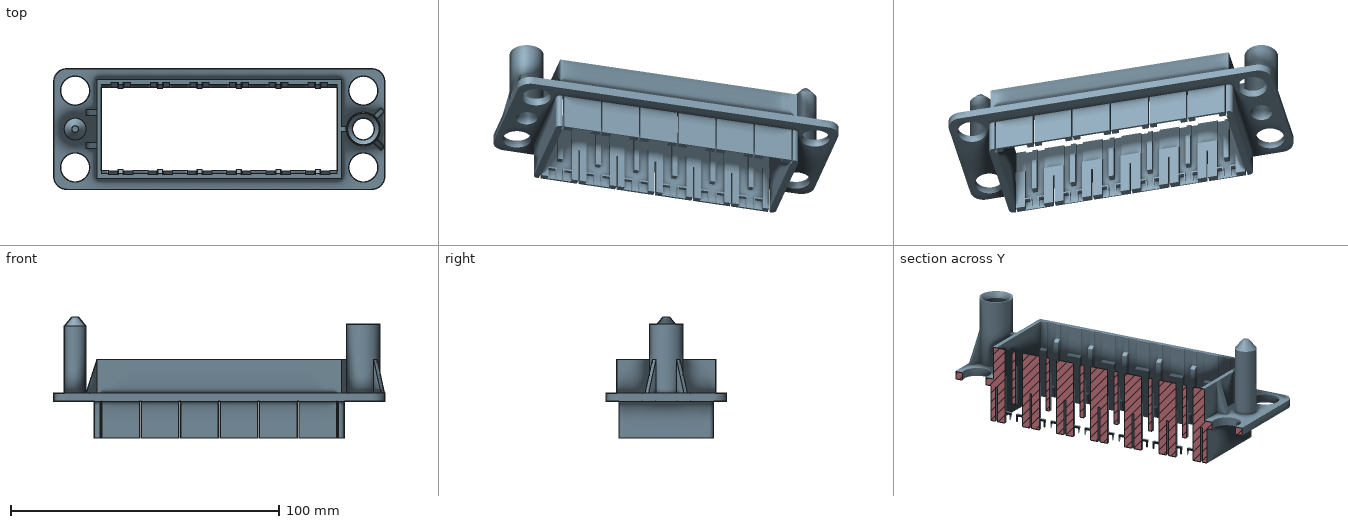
import cadquery as cq


plate_length = 123.4
plate_width = 45.0
plate_thickness = 3.1
plate_corner_radius = 4.9
mount_hole_diameter = 10.7
mount_x = 53.7
mount_y = 14.3

shell_half_length = 45.5
shell_half_width = 18.5
shell_height = 12.6
shell_top = plate_thickness + shell_height

skirt_half_length = 46.6
skirt_half_width = 17.6
skirt_depth = 13.7
skirt_corner_radius = 1.6
skirt_bottom = -skirt_depth

cavity_half_length = 43.9
shell_wall = shell_half_length - cavity_half_length
wall_face_y = 16.5
module_count = 6
module_pitch = 14.7
slot_width = 0.6

panel_face_y = 15.4
panel_top = 4.6
panel_bevel_height = 0.6

rib_face_y = 15.0
rib_width = 1.9
rib_bottom = -5.4
rib_top = 9.0
rib_bevel_height = 1.0

ledge_top = -9.3
ledge_thickness = 0.6
ledge_gap = 2.3
bracket_thickness = 0.5
ledge_face_y = 15.5

long_walls = (
    {"side": 1, "panel_width": 7.5, "groove_y": 17.3},
    {"side": -1, "panel_width": 5.5, "groove_y": 16.9},
)

pin_diameter = 8.1
pin_height = 28.4
pin_tip_diameter = 2.5
pin_tip_height = 3.5
socket_diameter = 12.6
socket_height = 25.7
socket_bore = 8.0
socket_mouth_diameter = 11.7

gusset_thickness = 2.2
gusset_base = 4.1
gusset_y = 6.2
web_thickness = 2.0
socket_gusset_thickness = 1.9
socket_gusset_reach = 10.2
socket_gusset_angle = 45


def box(x_min, x_max, y_min, y_max, z_min, z_max):
    size = (x_max - x_min, y_max - y_min, z_max - z_min)
    return cq.Workplane("XY").box(*size, centered=False).translate((x_min, y_min, z_min))


def wall_box(side, x_min, x_max, inner_y, outer_y, z_min, z_max):
    """Box on one long wall, with Y distances measured from the middle plane."""
    y_min, y_max = sorted((side * inner_y, side * outer_y))
    return box(x_min, x_max, y_min, y_max, z_min, z_max)


def wall_profile(side, x_min, x_max, points):
    """Extrude a (distance from middle plane, Z) outline along X on one long wall."""
    outline = [(side * y, z) for y, z in points]
    return cq.Workplane("YZ", origin=(x_min, 0, 0)).polyline(outline).close().extrude(x_max - x_min)


def triangle_gusset(root, reach, thickness):
    """Upright triangle in the XZ plane, as tall as the shell and sloping down towards +X."""
    outline = [(0, plate_thickness), (reach, plate_thickness), (root, shell_top), (0, shell_top)]
    return cq.Workplane("XZ", origin=(0, thickness / 2, 0)).polyline(outline).close().extrude(thickness)


def make_housing():
    plate = cq.Workplane("XY").rect(plate_length, plate_width).extrude(plate_thickness)
    plate = plate.edges("|Z").fillet(plate_corner_radius)
    holes = [(x, y) for x in (-mount_x, mount_x) for y in (-mount_y, mount_y)]
    hole_tools = cq.Workplane("XY").pushPoints(holes).circle(mount_hole_diameter / 2)
    plate = plate.cut(hole_tools.extrude(plate_thickness))
    shell = cq.Workplane("XY").rect(2 * shell_half_length, 2 * shell_half_width).extrude(shell_top)
    skirt = cq.Workplane("XY").rect(2 * skirt_half_length, 2 * skirt_half_width).extrude(-skirt_depth)
    skirt = skirt.edges("|Z").fillet(skirt_corner_radius)
    cavity = box(-cavity_half_length, cavity_half_length, -wall_face_y, wall_face_y, skirt_bottom, shell_top)
    return plate.union(shell).union(skirt).cut(cavity)


def panel_span(wall, center_x):
    x_min = max(center_x - wall["panel_width"] / 2, -cavity_half_length)
    x_max = min(center_x + wall["panel_width"] / 2, cavity_half_length)
    return x_min, x_max


def make_panel(wall, center_x):
    bevel_top = panel_top + panel_bevel_height
    section = [
        (skirt_half_width, skirt_bottom),
        (panel_face_y, skirt_bottom),
        (panel_face_y, panel_top),
        (wall_face_y, bevel_top),
        (skirt_half_width, bevel_top),
    ]
    x_min, x_max = panel_span(wall, center_x)
    return wall_profile(wall["side"], x_min, x_max, section)


def make_slot(wall, center_x):
    """Narrow slit through the skirt in the middle of a panel."""
    half_slot = slot_width / 2
    return wall_box(wall["side"], center_x - half_slot, center_x + half_slot,
                    panel_face_y, skirt_half_width, skirt_bottom, 0)


def half_module_opening(wall):
    return (module_pitch - wall["panel_width"]) / 2


def make_recess(wall, center_x):
    """Full-height recess in the wall between two neighbouring panels."""
    half_opening = half_module_opening(wall)
    return wall_box(wall["side"], center_x - half_opening, center_x + half_opening,
                    wall_face_y, wall["groove_y"], skirt_bottom, shell_top)


def make_rib(wall, center_x):
    """Rib with a sloping shoulder, carried on as a flush strip up to the rim."""
    groove_y = wall["groove_y"]
    section = [
        (groove_y, rib_bottom),
        (rib_face_y, rib_bottom),
        (rib_face_y, rib_top),
        (wall_face_y, rib_top + rib_bevel_height),
        (wall_face_y, shell_top),
        (groove_y, shell_top),
    ]
    return wall_profile(wall["side"], center_x - rib_width / 2, center_x + rib_width / 2, section)


def make_ledge(wall, center_x, direction):
    """Thin shelf beside a panel, with a tapering bracket next to the gap below the rib."""
    groove_y = wall["groove_y"]
    ledge_underside = ledge_top - ledge_thickness
    near_x = center_x + direction * ledge_gap / 2
    bracket_x = near_x + direction * bracket_thickness
    panel_x = center_x + direction * half_module_opening(wall)
    shelf = wall_box(wall["side"], *sorted((near_x, panel_x)),
                     ledge_face_y, groove_y, ledge_underside, ledge_top)
    section = [
        (groove_y, ledge_top),
        (ledge_face_y, ledge_top),
        (ledge_face_y, ledge_underside),
        (groove_y, skirt_bottom),
    ]
    return shelf.union(wall_profile(wall["side"], *sorted((near_x, bracket_x)), section))


def cut_all(body, tools):
    return body.newObject([body.val().cut(*[tool.val() for tool in tools])])


def join_all(body, tools):
    return body.newObject([body.val().fuse(*[tool.val() for tool in tools])]).clean()


def add_contact_modules(body, wall):
    module_centers = [(i - (module_count - 1) / 2) * module_pitch for i in range(module_count)]
    panel_centers = [(i - module_count / 2) * module_pitch for i in range(module_count + 1)]
    raised = [make_panel(wall, x) for x in panel_centers]
    for x in module_centers:
        raised.append(make_rib(wall, x))
        raised.append(make_ledge(wall, x, -1))
        raised.append(make_ledge(wall, x, 1))
    body = cut_all(body, [make_recess(wall, x) for x in module_centers])
    body = join_all(body, raised)
    return cut_all(body, [make_slot(wall, x) for x in panel_centers])


def add_guide_pin(body):
    shank_top = plate_thickness + pin_height - pin_tip_height
    pin_top = plate_thickness + pin_height
    outline = [
        (0, 0),
        (pin_diameter / 2, 0),
        (pin_diameter / 2, shank_top),
        (pin_tip_diameter / 2, pin_top),
        (0, pin_top),
    ]
    pin = cq.Workplane("XZ").polyline(outline).close().revolve(360, (0, 0), (0, 1))
    body = body.union(pin.translate((-mount_x, 0, 0)))
    for y in (-gusset_y, gusset_y):
        gusset = triangle_gusset(shell_wall, shell_wall + gusset_base, gusset_thickness)
        gusset = gusset.rotate((0, 0, 0), (0, 0, 1), 180)
        body = body.union(gusset.translate((-cavity_half_length, y, 0)))
    return body


def add_guide_socket(body):
    socket_radius = socket_diameter / 2
    socket_top = plate_thickness + socket_height
    socket = cq.Workplane("XY").circle(socket_radius).extrude(socket_top)
    for angle in (-socket_gusset_angle, socket_gusset_angle):
        gusset = triangle_gusset(socket_radius, socket_gusset_reach, socket_gusset_thickness)
        socket = socket.union(gusset.rotate((0, 0, 0), (0, 0, 1), angle))
    body = body.union(socket.translate((mount_x, 0, 0)))
    body = body.union(box(shell_half_length, mount_x, -web_thickness / 2, web_thickness / 2,
                          plate_thickness, shell_top))

    bore_radius = socket_bore / 2
    mouth_radius = socket_mouth_diameter / 2
    mouth_depth = mouth_radius - bore_radius
    outline = [
        (0, 0),
        (bore_radius, 0),
        (bore_radius, socket_top - mouth_depth),
        (mouth_radius, socket_top),
        (0, socket_top),
    ]
    bore = cq.Workplane("XZ").polyline(outline).close().revolve(360, (0, 0), (0, 1))
    return body.cut(bore.translate((mount_x, 0, 0)))


result = make_housing()
for long_wall in long_walls:
    result = add_contact_modules(result, long_wall)
result = add_guide_pin(result)
result = add_guide_socket(result)